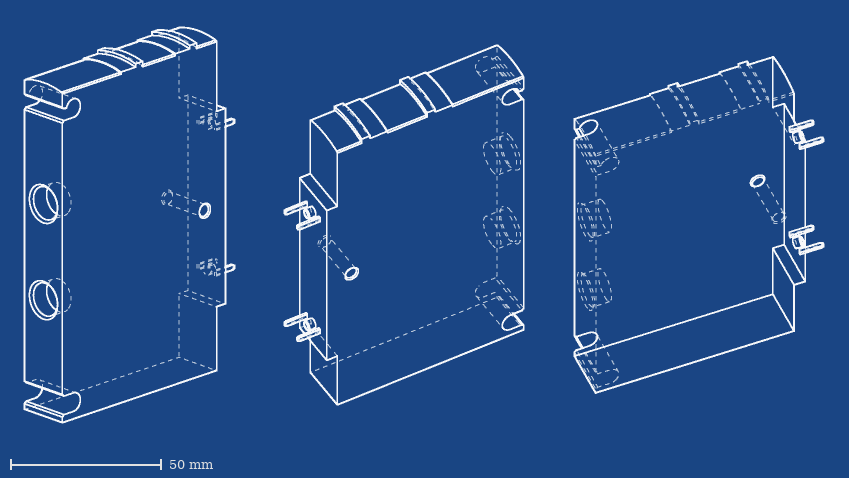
import cadquery as cq

width = 18.0
half_width = width / 2
body_depth = 71.5
height = 119.4

crown_sag = 1.2
lid_crown = 118.0
lid_edge_inset = 0.5
lid_edge_drop = 0.5
pad_crown = 118.2
lid_features_front = [27.2, 52.3]
pad_length = 6.7
ridge_length = 3.2

plate_back = 75.6
plate_bottom = 22.6
plate_top = 91.7
connector_heights = [32.2, 83.8]
peg_diameter = 3.6
peg_length = 2.7
peg_chamfer = 0.4
blade_tip = 84.0
blade_spacing = 8.4
blade_thickness = 0.8
blade_height = 1.8
blade_chamfer_length = 0.7
blade_chamfer_height = 0.4

notch_diameter = 6.6
notch_radius = notch_diameter / 2
notch_center_y = 5.0
upper_notch_z = 110.0
upper_lip_z = 110.8
lower_notch_z = 6.0
mouth_chamfer = 0.7

port_heights = [41.0, 75.0]
port_diameter = 11.5
port_rim_width = 1.0
port_rim_depth = 1.0
port_depth = 7.0
cross_hole_diameter = 4.2
cross_hole_chamfer = 0.5
cross_hole_y = 66.0
cross_hole_z = 57.9


def box(x_size, y_start, y_end, z_start, z_end):
    """Box centred on X = 0 and placed by its Y and Z limits."""
    size = (x_size, y_end - y_start, z_end - z_start)
    return cq.Workplane("XY").box(*size, centered=(True, False, False)).translate((0, y_start, z_start))


def rear_facing(y):
    """Workplane at the given Y whose normal points to +Y, with local y along +Z."""
    return cq.Workplane(cq.Plane((0, y, 0), xDir=(-1, 0, 0), normal=(0, 1, 0)))


def crowned_bar(y_start, y_end, crown):
    """Full-width raised bar with an arched top, rooted inside the housing."""
    edge = crown - crown_sag
    root = lid_crown - 2 * crown_sag
    return (
        rear_facing(y_start)
        .moveTo(-half_width, root)
        .lineTo(-half_width, edge)
        .threePointArc((0, crown), (half_width, edge))
        .lineTo(half_width, root)
        .close()
        .extrude(y_end - y_start)
    )


def housing():
    shoulder = lid_crown - crown_sag
    inner_half_width = half_width - lid_edge_inset
    return (
        rear_facing(0)
        .moveTo(-half_width, 0)
        .lineTo(-half_width, shoulder - lid_edge_drop)
        .lineTo(-inner_half_width, shoulder)
        .threePointArc((0, lid_crown), (inner_half_width, shoulder))
        .lineTo(half_width, shoulder - lid_edge_drop)
        .lineTo(half_width, 0)
        .close()
        .extrude(body_depth)
    )


def tip_bevel(z, end):
    """Wedge cut from the upper (end = 1) or lower (end = -1) corner of a blade tip."""
    corner_z = z + end * blade_height / 2
    return (
        cq.Workplane("YZ")
        .polyline([
            (blade_tip, corner_z),
            (blade_tip - blade_chamfer_length, corner_z),
            (blade_tip, corner_z - end * blade_chamfer_height),
        ])
        .close()
        .extrude(blade_thickness, both=True)
    )


def connector(z):
    """Round peg flanked by two flat contact blades."""
    peg = rear_facing(plate_back).center(0, z).circle(peg_diameter / 2).extrude(peg_length)
    parts = peg.faces(">Y").chamfer(peg_chamfer)
    for side in (-1, 1):
        blade = box(blade_thickness, plate_back, blade_tip, z - blade_height / 2, z + blade_height / 2)
        for end in (-1, 1):
            blade = blade.cut(tip_bevel(z, end))
        parts = parts.add(blade.translate((side * blade_spacing / 2, 0, 0)))
    return parts.combine()


def notch(z, slot_bottom, slot_top):
    """Round pocket across the width, open to the front by a slot with a bevelled mouth."""
    pocket = (
        cq.Workplane("YZ")
        .center(notch_center_y, z)
        .circle(notch_radius)
        .extrude(half_width, both=True)
    )
    slot = box(width, 0, notch_center_y, slot_bottom, slot_top)
    mouth = (
        cq.Workplane("YZ")
        .polyline([
            (0, slot_bottom - mouth_chamfer),
            (mouth_chamfer, slot_bottom),
            (mouth_chamfer, slot_top),
            (0, slot_top + mouth_chamfer),
        ])
        .close()
        .extrude(half_width, both=True)
    )
    return pocket.union(slot).union(mouth)


def port(z):
    """Blind front bore with a countersunk rim."""
    bore = rear_facing(0).center(0, z).circle(port_diameter / 2).extrude(port_depth)
    rim = cq.Solid.makeCone(
        port_diameter / 2 + port_rim_width, port_diameter / 2, port_rim_depth,
        cq.Vector(0, 0, z), cq.Vector(0, 1, 0),
    )
    return bore.union(cq.Workplane(rim))


def cross_hole():
    """Through hole along X, countersunk on both sides."""
    radius = cross_hole_diameter / 2
    hole = (
        cq.Workplane("YZ")
        .center(cross_hole_y, cross_hole_z)
        .circle(radius)
        .extrude(half_width, both=True)
    )
    for side in (-1, 1):
        rim = cq.Solid.makeCone(
            radius + cross_hole_chamfer, radius, cross_hole_chamfer,
            cq.Vector(side * half_width, cross_hole_y, cross_hole_z), cq.Vector(-side, 0, 0),
        )
        hole = hole.union(cq.Workplane(rim))
    return hole


result = housing().union(box(width, body_depth, plate_back, plate_bottom, plate_top))

for front in lid_features_front:
    pad_end = front + pad_length
    result = result.union(crowned_bar(front, pad_end, pad_crown))
    result = result.union(crowned_bar(pad_end, pad_end + ridge_length, height))

for z in connector_heights:
    result = result.union(connector(z))

result = result.cut(notch(upper_notch_z, upper_notch_z - notch_radius, upper_lip_z))
result = result.cut(notch(lower_notch_z, lower_notch_z - notch_radius, lower_notch_z + notch_radius))

for z in port_heights:
    result = result.cut(port(z))

result = result.cut(cross_hole())